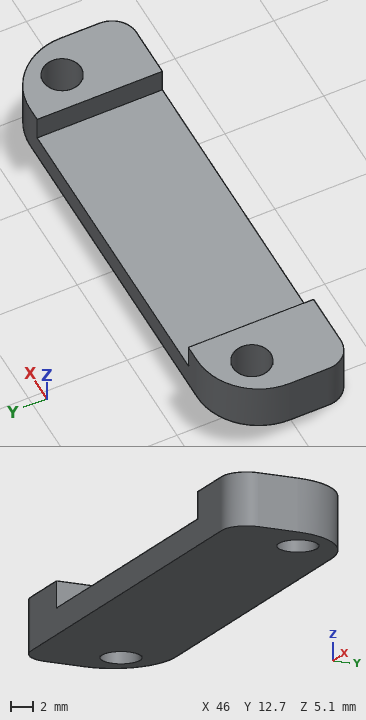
import cadquery as cq

length = 45.95
width = 12.7
height = 5.1

front_corner_radius = 2.5
back_corner_radius = 6.25

left_pad_length = 7.95
right_pad_length = 7.68
recess_length = length - left_pad_length - right_pad_length
recess_center_x = (left_pad_length - right_pad_length) / 2
floor_thickness = 2.55

hole_diameter = 3.8
hole_spacing = 38.05
hole_offset_y = 1.95


def make_body():
    """Plate with small front corners and large back corners, bottom at Z = 0."""
    body = cq.Workplane("XY").box(length, width, height, centered=(True, True, False))
    body = body.edges("|Z and <Y").fillet(front_corner_radius)
    return body.edges("|Z and >Y").fillet(back_corner_radius)


def make_recess():
    """Cutter that leaves a thin floor between the two end pads."""
    return (
        cq.Workplane("XY")
        .workplane(offset=floor_thickness)
        .center(recess_center_x, 0)
        .box(recess_length, width, height, centered=(True, True, False))
    )


def make_holes():
    """Pair of through-hole cutters, mirrored about the YZ plane."""
    hole_centers = [(side * hole_spacing / 2, hole_offset_y) for side in (-1, 1)]
    return (
        cq.Workplane("XY")
        .pushPoints(hole_centers)
        .circle(hole_diameter / 2)
        .extrude(height)
    )


result = make_body().cut(make_recess()).cut(make_holes())